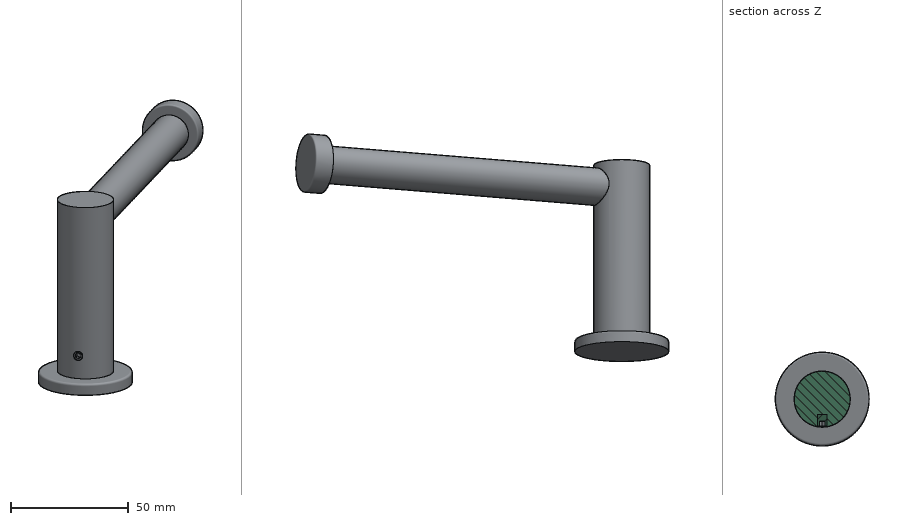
import cadquery as cq

total_length = 164.0
total_height = 83.3
flange_diameter = 40.0
flange_thickness = 5.0
flange_edge_fillet = 1.0
post_diameter = 24.0
post_top = 81.0
arm_diameter = 16.0
knob_diameter = 25.0
knob_thickness = 8.0
knob_edge_fillet = 0.7
screw_diameter = 4.0
screw_height = 15.0
screw_length = 5.0
screw_recess = 0.5
socket_across_corners = 2.6
socket_depth = 2.0

arm_height = total_height - knob_diameter / 2
arm_end = total_length - flange_diameter / 2
knob_start = arm_end - knob_thickness
post_front = -post_diameter / 2
screw_front = post_front + screw_recess


def plane_along_y(y, z):
    """Plane at the given place on the YZ centre plane, extruding toward +Y."""
    return cq.Plane(origin=(0, y, z), xDir=(1, 0, 0), normal=(0, 1, 0))


def make_flange():
    """Round wall flange with a rounded upper rim."""
    disc = cq.Workplane("XY").circle(flange_diameter / 2).extrude(flange_thickness)
    return disc.faces(">Z").edges().fillet(flange_edge_fillet)


def make_holder():
    """Post, arm and end knob in one piece, with a blind hole for the set screw."""
    post_height = post_top - flange_thickness
    post = cq.Workplane("XY", origin=(0, 0, flange_thickness)).circle(post_diameter / 2).extrude(post_height)
    arm = cq.Workplane(plane_along_y(0, arm_height)).circle(arm_diameter / 2).extrude(knob_start)
    knob = cq.Workplane(plane_along_y(knob_start, arm_height)).circle(knob_diameter / 2).extrude(knob_thickness)
    knob = knob.edges().fillet(knob_edge_fillet)
    hole_depth = screw_recess + screw_length
    screw_hole = cq.Workplane(plane_along_y(post_front, screw_height)).circle(screw_diameter / 2).extrude(hole_depth)
    return post.union(arm).union(knob).cut(screw_hole)


def make_set_screw():
    """Headless set screw with a hexagonal socket in its front end."""
    screw_plane = plane_along_y(screw_front, screw_height)
    shank = cq.Workplane(screw_plane).circle(screw_diameter / 2).extrude(screw_length)
    socket = cq.Workplane(screw_plane).transformed(rotate=(0, 0, 30))
    socket = socket.polygon(6, socket_across_corners).extrude(socket_depth)
    return shank.cut(socket)


flange = make_flange()
holder = make_holder()
set_screw = make_set_screw()

result = cq.Compound.makeCompound([flange.val(), holder.val(), set_screw.val()])